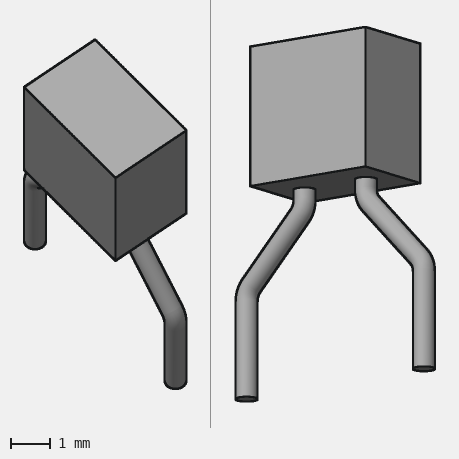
import cadquery as cq
import math

body_width = 3.62
body_depth = 2.31
body_height = 3.6
overall_height = 8.74
body_bottom = overall_height - body_height

overall_width = 6.12
lead_diameter = 0.56
foot_offset = (overall_width - lead_diameter) / 2
root_offset = 0.96
foot_length = 2.53
root_length = 0.26
bend_radius = 0.56

bend_top = body_bottom - root_length
sideways = foot_offset - root_offset
rise = bend_top - foot_length
centre_gap = sideways - 2 * bend_radius
bend_angle = math.atan2(centre_gap, rise) + math.asin(2 * bend_radius / math.hypot(centre_gap, rise))

mid_across = bend_radius * (1 - math.cos(bend_angle / 2))
mid_along = bend_radius * math.sin(bend_angle / 2)
end_across = bend_radius * (1 - math.cos(bend_angle))
end_along = bend_radius * math.sin(bend_angle)


def make_body():
    """Plain rectangular block standing on top of the leads."""
    return (
        cq.Workplane("XY")
        .workplane(offset=body_bottom)
        .rect(body_width, body_depth)
        .extrude(body_height)
    )


def make_lead(side):
    """Bent wire on one side: -1 for the -X side, 1 for the +X side."""
    foot_x = side * foot_offset
    root_x = side * root_offset
    path = (
        cq.Workplane("XZ")
        .moveTo(foot_x, 0)
        .lineTo(foot_x, foot_length)
        .threePointArc(
            (foot_x - side * mid_across, foot_length + mid_along),
            (foot_x - side * end_across, foot_length + end_along),
        )
        .lineTo(root_x + side * end_across, bend_top - end_along)
        .threePointArc(
            (root_x + side * mid_across, bend_top - mid_along),
            (root_x, bend_top),
        )
        .lineTo(root_x, body_bottom)
    )
    return cq.Workplane("XY").center(foot_x, 0).circle(lead_diameter / 2).sweep(path)


body = make_body()
leads = [make_lead(side) for side in (-1, 1)]

result = cq.Compound.makeCompound([body.val(), *[lead.val() for lead in leads]])